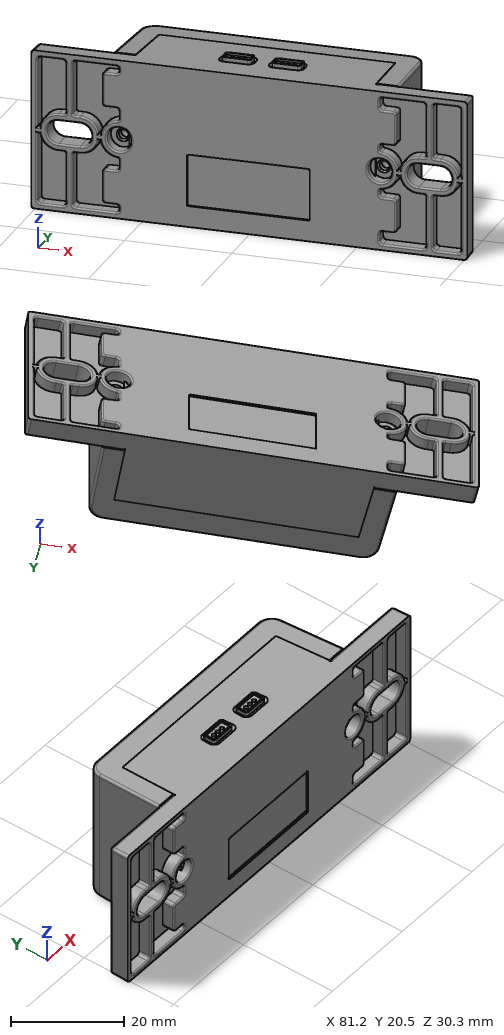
import cadquery as cq
import math

LENGTH = 81.25
HEIGHT = 30.0
DEPTH = 20.5
DRAFT = 2.0
EDGE_ROUND = 0.5

PLATE_DEPTH = 4.0
FLOOR_DEPTH = 2.4
RIM_ROUND = 0.3
POCKET_MARGIN = 1.1
POCKET_CORNER = 0.65
WEB = 1.2
POCKET_END_X = 24.2
NOTCH_X = 27.4
NOTCH_HEIGHT = 6.4
NOTCH_BOTTOM_LEFT = 5.9
NOTCH_BOTTOM_RIGHT = 5.0
RIB_CORNER = 0.4

SLOT_X = 33.55
SLOT_RADIUS = 2.2
SLOT_HALF_SPAN = 2.0
BOSS_RADIUS = 3.5
SCREW_X = 24.3
BORE_RADIUS = 2.3
BORE_DEPTH = 1.8
BORE_STEP_X = 22.9
SCREW_HOLE_RADIUS = 0.9
SCREW_HOLE_CHAMFER = 0.3
SCREW_HOLE_DEPTH = 8.1

COVER_LENGTH = 53.5
COVER_CORNER = 2.9
TONGUE_LENGTH = 46.15
TONGUE_DEPTH = 16.2
TONGUE_CORNER = 0.6

SOCKET_X = 4.6
SOCKET_Y = 7.9
SOCKET_LENGTH = 5.4
SOCKET_WIDTH = 2.7
SOCKET_CORNER = 0.6
SOCKET_HEIGHT = 4.1
SOCKET_TOP = 15.315
SOCKET_RIM = 0.3
SOCKET_RECESS = 0.4
CONTACTS = 3
CONTACT_PITCH = 1.1
CONTACT_RADIUS = 0.4
CONTACT_DEPTH = 1.2
FLARE_WIDTH = 0.6
FLARE_SLOPE = 60

LABEL_X = -0.2
LABEL_Z = -6.2
LABEL_LENGTH = 22.9
LABEL_HEIGHT = 9.75
LABEL_CORNER = 0.3
LABEL_THICKNESS = 0.2
LABEL_RECESS = 0.5

SLOPE = math.tan(math.radians(DRAFT))
SIDES = (-1, 1)


def facing_back(y):
    """Workplane at depth y that extrudes toward +Y, with local x along -X and local y along +Z."""
    return cq.Workplane(cq.Plane(origin=(0, y, 0), xDir=(-1, 0, 0), normal=(0, 1, 0)))


def cover_envelope():
    """Drafted block shared by the cover and the tongue, so that their faces are flush."""
    return facing_back(0).rect(COVER_LENGTH, HEIGHT).extrude(DEPTH, taper=DRAFT)


def tongue():
    """Block behind the plate, widest at mid height and drafted toward its top and bottom."""
    half = TONGUE_LENGTH / 2
    end = half - TONGUE_DEPTH * SLOPE
    outline = [(-half, 0), (half, 0), (end, TONGUE_DEPTH), (-end, TONGUE_DEPTH), (-half, 0)]
    upper = (
        cq.Workplane("XY")
        .sketch().polygon(outline).vertices(">Y").fillet(TONGUE_CORNER).finalize()
        .extrude(HEIGHT / 2, taper=DRAFT)
    )
    block = upper.union(upper.mirror("XY"))
    front_part = cq.Workplane("XY").box(LENGTH, 2 * FLOOR_DEPTH, HEIGHT)
    return block.cut(front_part).intersect(cover_envelope())


def slot(radius, depth):
    """Rounded slot on the +X side, starting at the front face."""
    span = 2 * (SLOT_HALF_SPAN + radius)
    return facing_back(0).center(-SLOT_X, 0).slot2D(span, 2 * radius).extrude(depth)


def screw_cylinder(radius, depth):
    """Cylinder on the +X screw axis, starting at the front face."""
    return facing_back(0).center(-SCREW_X, 0).circle(radius).extrude(depth)


def screw_bore():
    """Counterbore on the +X side, shallower toward the middle of the plate."""
    inner_part = cq.Workplane("XY").box(2 * BORE_STEP_X, HEIGHT, HEIGHT)
    deep_side = screw_cylinder(BORE_RADIUS, FLOOR_DEPTH).cut(inner_part)
    return deep_side.union(screw_cylinder(BORE_RADIUS, BORE_DEPTH))


def pockets(notch_bottom):
    """The four pockets of the +X side: a notched field less the ribs and the rings around the holes."""
    outer = LENGTH / 2 - POCKET_MARGIN
    top = HEIGHT / 2 - POCKET_MARGIN
    notch_top = notch_bottom + NOTCH_HEIGHT
    upper_outline = [
        (outer, top),
        (POCKET_END_X, top),
        (POCKET_END_X, notch_top),
        (NOTCH_X, notch_top),
        (NOTCH_X, notch_bottom),
        (POCKET_END_X, notch_bottom),
    ]
    lower_outline = [(x, -z) for x, z in reversed(upper_outline)]
    field = cq.Workplane("XZ").polyline(upper_outline + lower_outline).close().extrude(-FLOOR_DEPTH)
    upright_rib = cq.Workplane("XY").box(WEB, HEIGHT, HEIGHT).translate((SLOT_X, 0, 0))
    level_rib = cq.Workplane("XY").box(2 * LENGTH, HEIGHT, WEB)
    field = (
        field.cut(upright_rib).edges("|Y").fillet(POCKET_CORNER).cut(level_rib)
        .cut(slot(BOSS_RADIUS, DEPTH)).cut(screw_cylinder(BOSS_RADIUS, DEPTH))
    )
    reach = BOSS_RADIUS + 0.1
    for x in (POCKET_END_X, SLOT_X):
        junctions = cq.selectors.BoxSelector((x - WEB, -DEPTH, -reach), (x + WEB, DEPTH, reach))
        field = field.edges("|Y").edges(junctions).fillet(RIB_CORNER)
    return field


def plate():
    """Drafted plate with pockets, slots and counterbores, all with rounded rims."""
    body = (
        facing_back(0)
        .sketch().rect(LENGTH, HEIGHT).vertices().fillet(EDGE_ROUND + PLATE_DEPTH * SLOPE).finalize()
        .extrude(PLATE_DEPTH, taper=DRAFT)
    )
    body = body.faces(">Y").edges().fillet(EDGE_ROUND)
    holes = slot(SLOT_RADIUS, DEPTH).union(screw_bore())
    right_openings = pockets(NOTCH_BOTTOM_RIGHT).union(holes)
    left_openings = pockets(NOTCH_BOTTOM_LEFT).union(holes).mirror("YZ")
    body = body.cut(right_openings).cut(left_openings)
    front = body.faces("<Y").val()
    rims = [edge for wire in front.innerWires() for edge in wire.Edges()]
    return body.newObject(rims).fillet(RIM_ROUND)


def label_block(depth):
    """Rounded rectangle of the label, from the front face to the given depth."""
    return (
        cq.Workplane("XZ").center(LABEL_X, LABEL_Z).rect(LABEL_LENGTH, LABEL_HEIGHT).extrude(-depth)
        .edges("|Y").fillet(LABEL_CORNER)
    )


def label():
    """Thin label on the floor of its recess."""
    return label_block(LABEL_RECESS).cut(label_block(LABEL_RECESS - LABEL_THICKNESS))


def socket_block(x):
    """Rounded block of one socket."""
    return (
        cq.Workplane("XY", origin=(x, SOCKET_Y, SOCKET_TOP)).rect(SOCKET_LENGTH, SOCKET_WIDTH)
        .extrude(-SOCKET_HEIGHT).edges("|Z").fillet(SOCKET_CORNER)
    )


def socket(x):
    """Socket with a recessed top and a row of contact holes."""
    top = cq.Workplane("XY", origin=(x, SOCKET_Y, SOCKET_TOP))
    recess = (
        top.rect(SOCKET_LENGTH - 2 * SOCKET_RIM, SOCKET_WIDTH - 2 * SOCKET_RIM).extrude(-SOCKET_RECESS)
        .edges("|Z").fillet(SOCKET_CORNER - SOCKET_RIM)
    )
    holes = top.rarray(CONTACT_PITCH, 0.8, CONTACTS, 1).circle(CONTACT_RADIUS).extrude(-CONTACT_DEPTH)
    return socket_block(x).cut(recess).cut(holes)


def socket_flare(x):
    """Sloped border that widens upward around one socket to the tongue's surface."""
    surface = HEIGHT / 2 - SOCKET_Y * SLOPE
    depth = FLARE_WIDTH / math.tan(math.radians(FLARE_SLOPE))
    return (
        cq.Workplane("XY", origin=(x, SOCKET_Y, surface - depth))
        .sketch().rect(SOCKET_LENGTH, SOCKET_WIDTH).vertices().fillet(SOCKET_CORNER).finalize()
        .extrude(2 * depth, taper=-FLARE_SLOPE)
    )


def screw_holes():
    """Chamfered screw holes that run from the counterbores through the plate."""
    hole = screw_cylinder(SCREW_HOLE_RADIUS, SCREW_HOLE_DEPTH)
    mouth_radius = SCREW_HOLE_RADIUS + SCREW_HOLE_CHAMFER
    cone = (
        facing_back(FLOOR_DEPTH).center(-SCREW_X, 0).circle(mouth_radius)
        .extrude(SCREW_HOLE_CHAMFER, taper=45)
    )
    hole = hole.union(cone)
    return hole.union(hole.mirror("YZ"))


def base():
    """Plate and tongue, with the places for the sockets and the label."""
    body = plate().union(tongue()).cut(screw_holes()).cut(label_block(LABEL_RECESS))
    for side in SIDES:
        body = body.cut(socket_block(side * SOCKET_X)).cut(socket_flare(side * SOCKET_X))
    return body


def cover():
    """Rounded cap behind the plate that wraps the back and both ends of the tongue."""
    body = cover_envelope()
    body = body.faces(">Y").edges("|Z").fillet(COVER_CORNER)
    body = body.faces(">Z or <Z").edges().fillet(EDGE_ROUND)
    front_part = cq.Workplane("XY").box(LENGTH, 2 * PLATE_DEPTH, 2 * HEIGHT)
    return body.cut(front_part).cut(tongue()).cut(screw_holes())


sockets = [socket(side * SOCKET_X) for side in SIDES]
result = cq.Compound.makeCompound(
    [base().val(), cover().val(), label().val(), *[body.val() for body in sockets]]
)